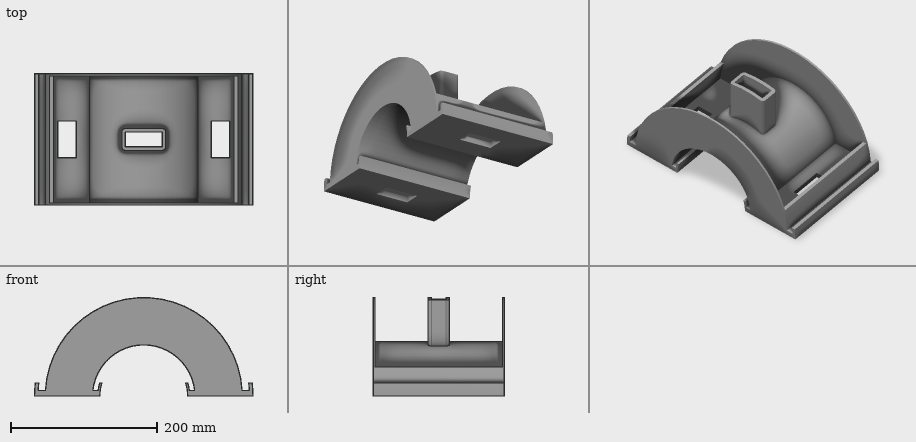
import cadquery as cq

length = 180.0
base_width = 299.25
base_thickness = 8.0

inner_lip_inner_radius = 60.0
inner_lip_thickness = 3.0
inner_lip_outer_radius = inner_lip_inner_radius + inner_lip_thickness
bore_radius = 70.0
shell_outer_radius = 75.0
side_wall_inner_radius = 130.0
arch_radius = 135.0
outer_lip_outer_radius = base_width / 2
outer_lip_thickness = 5.0
outer_lip_inner_radius = outer_lip_outer_radius - outer_lip_thickness

lip_height = 18.0
side_wall_height = 40.0
end_plate_thickness = 3.0

foot_slot_width = 25.0
foot_slot_length = 50.0
foot_slot_offset = 105.0

duct_width = 60.0
duct_depth = 30.0
duct_wall = 5.0
duct_corner_radius = 5.0


def centered_box(width, depth, height):
    """Box centred in X and Y, standing on Z = 0."""
    return cq.Workplane("XY").box(width, depth, height, centered=(True, True, False))


def cylinder(radius, depth):
    """Solid cylinder along the arch axis, centred in Y."""
    return cq.Workplane("XZ", origin=(0, depth / 2, 0)).circle(radius).extrude(depth)


def half_ring(inner_radius, outer_radius, height, depth=length):
    """Part of a tube around the arch axis between Z = 0 and the given height."""
    tube = cylinder(outer_radius, depth).cut(cylinder(inner_radius, depth))
    return tube.intersect(centered_box(base_width, depth, height))


def make_feet():
    """Two flat feet, each with a curved lip along both long edges."""
    feet = half_ring(inner_lip_inner_radius, outer_lip_outer_radius, base_thickness)
    inner_lips = half_ring(inner_lip_inner_radius, inner_lip_outer_radius, lip_height)
    outer_lips = half_ring(outer_lip_inner_radius, outer_lip_outer_radius, lip_height)
    return feet.union(inner_lips).union(outer_lips)


def make_arch():
    """Inner shell, low side walls and the two end plates."""
    shell = half_ring(bore_radius, shell_outer_radius, shell_outer_radius)
    side_walls = half_ring(side_wall_inner_radius, arch_radius, side_wall_height)
    arch = shell.union(side_walls)
    end_plate = half_ring(bore_radius, arch_radius, arch_radius, end_plate_thickness)
    end_plate_offset = (length - end_plate_thickness) / 2
    for side in (-1, 1):
        arch = arch.union(end_plate.translate((0, side * end_plate_offset, 0)))
    return arch


def make_duct():
    """Rounded duct from the shell up to the arch radius, without its opening."""
    duct = centered_box(duct_width, duct_depth, arch_radius)
    duct = duct.edges("|Z").fillet(duct_corner_radius)
    return duct.intersect(half_ring(bore_radius, arch_radius, arch_radius))


def make_openings():
    """Cutters for the duct passage and the slot in each foot."""
    opening_width = duct_width - 2 * duct_wall
    opening_depth = duct_depth - 2 * duct_wall
    openings = centered_box(opening_width, opening_depth, arch_radius)
    slot = centered_box(foot_slot_width, foot_slot_length, base_thickness)
    for side in (-1, 1):
        openings = openings.union(slot.translate((side * foot_slot_offset, 0, 0)))
    return openings


body = make_feet().union(make_arch()).union(make_duct())
result = body.cut(make_openings())